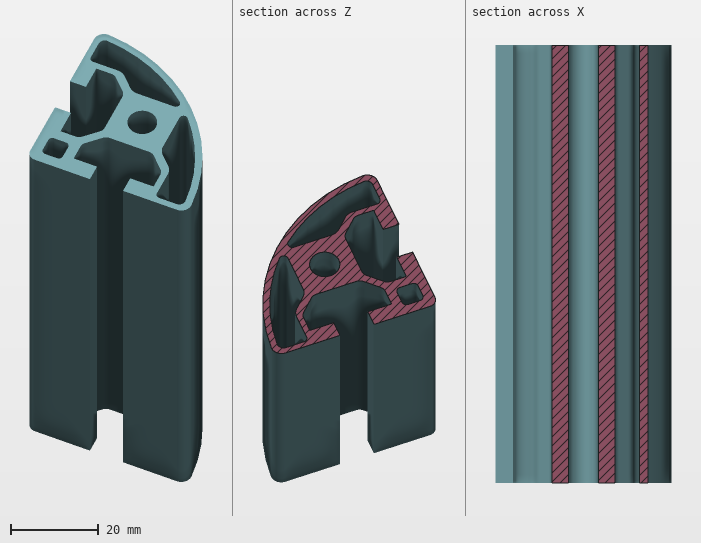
import cadquery as cq
import math

length = 100.0
half_module = 20.0

arc_radius = 40.2
square_corner_radius = 2.0
arc_corner_radius = 2.5

slot_opening = 8.3
slot_half_width = 10.0
lip_thickness = 4.0
core_half_width = 7.2
web_thickness = 2.0
bend_radius = 2.0
pocket_bend_radius = 3.0

bore_diameter = 6.8
wall = 1.5
arc_wall = 1.7
pocket_corner_radius = 1.0
pocket_top_radius = 1.5
corner_hole_size = 5.0
corner_hole_center = -15.0
corner_hole_radius = 1.0

web_offset = web_thickness / 2 * math.sqrt(2)

DIAGONAL_MIRROR = (1, -1, 0)


def mirrored_pair(body):
    """Return the body together with its mirror image across the plane X = Y."""
    return body.union(body.mirror(DIAGONAL_MIRROR))


def fillet_at(body, points, radius):
    """Round the vertical edges of the body that stand on the given points."""
    for x, y in points:
        edge = cq.selectors.NearestToPointSelector((x, y, length / 2))
        body = body.edges("|Z").edges(edge).fillet(radius)
    return body


def outer_body():
    """Solid quarter round with its three long corners rounded."""
    corner = -half_module
    tip = corner + arc_radius
    middle = corner + arc_radius / math.sqrt(2)
    body = (
        cq.Workplane("XY")
        .moveTo(corner, corner)
        .lineTo(tip, corner)
        .threePointArc((middle, middle), (corner, tip))
        .close()
        .extrude(length)
    )
    body = fillet_at(body, [(corner, corner)], square_corner_radius)
    return fillet_at(body, [(tip, corner), (corner, tip)], arc_corner_radius)


def left_slot():
    """T-slot in the -X face: a narrow opening and a chamber narrowing to the core."""
    lip_x = -half_module + lip_thickness
    web_outer = (-slot_half_width - web_offset, slot_half_width)
    web_inner = (-core_half_width, core_half_width - web_offset)
    upper = [web_outer, web_inner]
    lower = [(x, -y) for x, y in reversed(upper)]
    outline = [(lip_x, slot_half_width)] + upper + lower + [(lip_x, -slot_half_width)]
    chamber = cq.Workplane("XY").polyline(outline).close().extrude(length)
    chamber = fillet_at(chamber, upper + lower, bend_radius)
    opening = (
        cq.Workplane("XY")
        .center(-half_module, 0)
        .rect(2 * (half_module - core_half_width), slot_opening)
        .extrude(length)
    )
    return chamber.union(opening)


def upper_pocket():
    """Closed hollow between the left slot, the core and the quarter-round wall."""
    inner_radius = arc_radius - arc_wall
    side_x = -half_module + wall
    floor_y = slot_half_width + wall
    core_height = core_half_width + half_module
    start_angle = math.asin(core_height / inner_radius)
    end_angle = math.acos(wall / inner_radius)

    def arc_point(angle):
        return (
            inner_radius * math.cos(angle) - half_module,
            inner_radius * math.sin(angle) - half_module,
        )

    floor_corner = (side_x, floor_y)
    web_outer = (web_offset - floor_y, floor_y)
    web_inner = (web_offset - core_half_width, core_half_width)
    tip = arc_point(start_angle)
    top = arc_point(end_angle)
    pocket = (
        cq.Workplane("XY")
        .moveTo(*floor_corner)
        .lineTo(*web_outer)
        .lineTo(*web_inner)
        .lineTo(*tip)
        .threePointArc(arc_point((start_angle + end_angle) / 2), top)
        .close()
        .extrude(length)
    )
    pocket = fillet_at(pocket, [web_outer, web_inner], pocket_bend_radius)
    pocket = fillet_at(pocket, [floor_corner, tip], pocket_corner_radius)
    return fillet_at(pocket, [top], pocket_top_radius)


def bore():
    """Round screw bore through the core."""
    return cq.Workplane("XY").circle(bore_diameter / 2).extrude(length)


def corner_hole():
    """Small rounded square hollow in the square corner."""
    return (
        cq.Workplane("XY")
        .center(corner_hole_center, corner_hole_center)
        .rect(corner_hole_size, corner_hole_size)
        .extrude(length)
        .edges("|Z")
        .fillet(corner_hole_radius)
    )


result = (
    outer_body()
    .cut(mirrored_pair(left_slot()))
    .cut(mirrored_pair(upper_pocket()))
    .cut(bore())
    .cut(corner_hole())
)